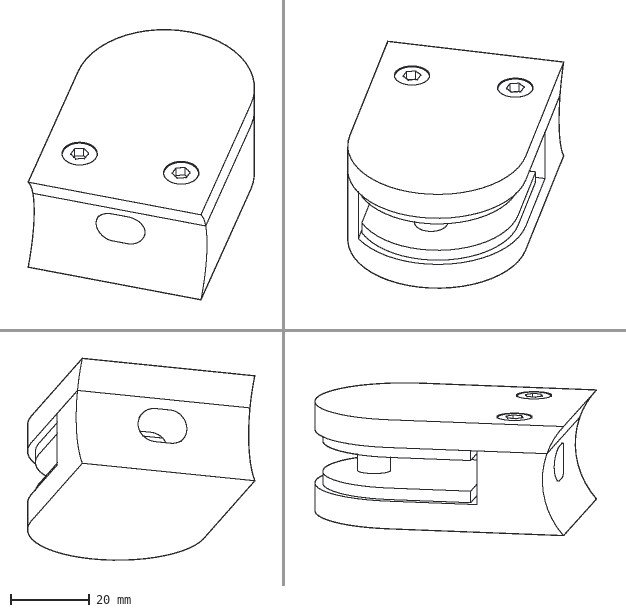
import cadquery as cq
import math


width = 46.0
length = 68.5
height = 28.5
end_radius = width / 2
front_y = end_radius - length

glass_gap = 8.0
gasket_thickness = 3.0
slot_height = glass_gap + 2 * gasket_thickness
slot_back_y = -23.0
side_wall_x = 17.5
gasket_margin = 2.0
gasket_wall_gap = 0.25

post_radius = 21.2
saddle_depth = 5.5
post_center_y = front_y + saddle_depth - post_radius

oblong_width = 13.0
oblong_height = 9.0

pin_diameter = 8.5
pin_y = 8.0

screw_spacing = 27.0
screw_y = -31.0
head_diameter = 9.0
head_height = 5.0
head_edge_radius = 0.6
shank_diameter = 5.0
shank_length = 16.0
hex_across_flats = 4.0
hex_depth = 2.5
hex_turn = 20.0

top_z = height / 2
slot_top_z = slot_height / 2
glass_top_z = glass_gap / 2
screw_positions = [(side * screw_spacing / 2, screw_y) for side in (-1, 1)]


def rounded_plate(radius, straight_end_y, bottom_z, thickness):
    """Plate with straight sides and a half-round end at +Y."""
    return (
        cq.Workplane("XY")
        .workplane(offset=bottom_z)
        .moveTo(-radius, straight_end_y)
        .lineTo(radius, straight_end_y)
        .lineTo(radius, 0)
        .threePointArc((0, radius), (-radius, 0))
        .close()
        .extrude(thickness)
    )


def make_post():
    """Cylinder along X that cuts the saddle."""
    return (
        cq.Workplane("YZ")
        .center(post_center_y, 0)
        .circle(post_radius)
        .extrude(width, both=True)
    )


def make_screw_blank(position):
    """Screw without its hexagon and edge rounding, which is also the shape of its hole."""
    head_bottom_z = top_z - head_height
    head = (
        cq.Workplane("XY")
        .workplane(offset=head_bottom_z)
        .center(*position)
        .circle(head_diameter / 2)
        .extrude(head_height)
    )
    shank = (
        cq.Workplane("XY")
        .workplane(offset=head_bottom_z)
        .center(*position)
        .circle(shank_diameter / 2)
        .extrude(-shank_length)
    )
    return head.union(shank)


def make_screw(position):
    """Socket screw whose rounded head lies flush with the top of the cover."""
    hex_socket = (
        cq.Workplane("XY")
        .workplane(offset=top_z)
        .center(*position)
        .transformed(rotate=(0, 0, hex_turn))
        .polygon(6, hex_across_flats / math.cos(math.pi / 6))
        .extrude(-hex_depth)
    )
    rounded_blank = make_screw_blank(position).faces(">Z").edges().fillet(head_edge_radius)
    return rounded_blank.cut(hex_socket)


def make_base():
    """Lower plate, front block and +X side wall in one piece."""
    body = rounded_plate(end_radius, front_y, -top_z, top_z + slot_top_z)

    slot = cq.Workplane("XY").box(
        side_wall_x + end_radius,
        end_radius - slot_back_y,
        slot_height,
        centered=(False, False, True),
    ).translate((-end_radius, slot_back_y, 0))

    oblong_hole = (
        cq.Workplane("XZ", origin=(0, slot_back_y, 0))
        .slot2D(oblong_width, oblong_height)
        .extrude(slot_back_y - front_y)
    )

    body = body.cut(slot).cut(make_post()).cut(oblong_hole)
    for position in screw_positions:
        body = body.cut(make_screw_blank(position))
    return body


def make_cover():
    """Upper plate with stepped holes for the screws."""
    body = rounded_plate(end_radius, front_y, slot_top_z, top_z - slot_top_z)
    body = body.cut(make_post())
    for position in screw_positions:
        body = body.cut(make_screw_blank(position))
    return body


def make_gasket(bottom_z):
    """Flat pad set in from the clamp outline and slot back, with a small gap to the side wall."""
    pad = rounded_plate(
        end_radius - gasket_margin,
        slot_back_y + gasket_margin,
        bottom_z,
        gasket_thickness,
    )
    side_clearance = cq.Workplane("XY").box(
        end_radius, length, height, centered=(False, True, True)
    ).translate((side_wall_x - gasket_wall_gap, 0, 0))
    return pad.cut(side_clearance)


def make_pin():
    """Round pin that spans the glass gap between the gaskets."""
    return (
        cq.Workplane("XY")
        .workplane(offset=-glass_top_z)
        .center(0, pin_y)
        .circle(pin_diameter / 2)
        .extrude(glass_gap)
    )


base = make_base()
cover = make_cover()
gaskets = [make_gasket(bottom_z) for bottom_z in (-slot_top_z, glass_top_z)]
pin = make_pin()
screws = [make_screw(position) for position in screw_positions]

result = cq.Compound.makeCompound(
    [
        base.val(),
        cover.val(),
        *[gasket.val() for gasket in gaskets],
        pin.val(),
        *[screw.val() for screw in screws],
    ]
)